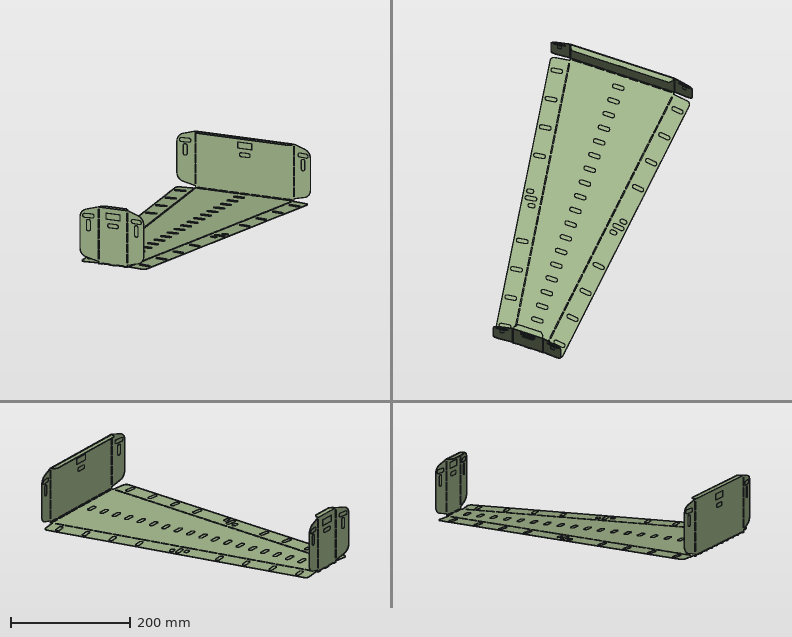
import cadquery as cq
import math

rear_y = 251.0
front_tip_y = -251.0
overall_width = 250.5
height = 99.5
sheet = 1.0
taper_angle = math.radians(7.5)
taper = math.tan(taper_angle)

rear_bend_x = 92.5
wing_span = overall_width / 2 - rear_bend_x
corner_relief = 4.0
front_face_y = front_tip_y + wing_span * taper
rear_face_y = rear_y - sheet
front_bend_x = rear_bend_x - taper * (rear_y - front_face_y)

wing_slope = math.tan(math.radians(15))
wing_radius = 15.0
lip_depth = 10.0
lip_inset = 1.5
lip_chamfer = 5.0

floor_wing_width = 32.5
floor_wing_radius = 7.0

recess_depth = sheet / 2
slot_length = 20.0
slot_width = 7.0
slot_from_bend = 18.0

floor_slot_count = 19
floor_slot_first_y = -221.0
floor_slot_last_y = 229.0

wing_slot_span = 450.0
wing_slot_steps = (-4.5, -3.5, -2.5, -1.5, 0, 1.5, 2.5, 3.5, 4.5)
wing_slot_pitch = wing_slot_span / (wing_slot_steps[-1] - wing_slot_steps[0])
short_slot_length = 12.0
short_slot_spacing = 12.0
short_slot_offset = 3.5

panel_slot_z = 82.5
upright_slot_z = 66.0
middle_slot_z = 69.0
window_length = 26.0
window_height = 10.5
window_z = 85.0

bend_slot_length = 15.0
bend_slot_width = 2.0
bend_slot_gap = 2.9
bend_slot_pitch = bend_slot_length + bend_slot_gap
floor_bend_slots = 27
panel_bend_slots = 5
panel_bend_slots_z = 51.5
rear_bend_slots = 9
rear_bend_slot_pitch = 20.0
front_bend_slots = 2
front_bend_slot_pitch = 26.0


def bend_x(y):
    """Half width of the floor between its bend lines at a given Y."""
    return rear_bend_x - taper * (rear_y - y)


def slot_prism(plane, centre, length, width, angle=0):
    """A round-ended slot, long enough on both sides of the plane to cross one sheet."""
    slot = cq.Workplane(plane, origin=centre).transformed(rotate=(0, 0, angle))
    return slot.slot2D(length, width).extrude(wing_span, both=True)


def union_of(shapes):
    """Join a list of shapes into one."""
    joined = shapes[0]
    for shape in shapes[1:]:
        joined = joined.union(shape)
    return joined


def both_sides(shape):
    """The shape and its mirror image across the middle of the part."""
    return shape.union(shape.mirror("YZ"))


def floor_sheet():
    front_wing_y = front_face_y + corner_relief
    rear_wing_y = rear_y - corner_relief
    out_x = floor_wing_width * math.cos(taper_angle)
    out_y = floor_wing_width * math.sin(taper_angle)
    middle = [
        (front_bend_x, front_face_y),
        (rear_bend_x, rear_y),
        (-rear_bend_x, rear_y),
        (-front_bend_x, front_face_y),
    ]
    wing = [
        (0, front_wing_y),
        (bend_x(front_wing_y), front_wing_y),
        (bend_x(front_wing_y) + out_x, front_wing_y - out_y),
        (bend_x(rear_wing_y) + out_x, rear_wing_y - out_y),
        (bend_x(rear_wing_y), rear_wing_y),
        (0, rear_wing_y),
    ]
    side = cq.Workplane("XY").polyline(wing).close().extrude(sheet)
    side = side.edges("|Z").edges(">X or <Y").fillet(floor_wing_radius)
    return cq.Workplane("XY").polyline(middle).close().extrude(sheet).union(both_sides(side))


def floor_recesses():
    middle_y = (front_face_y + rear_y) / 2
    tilt = -math.degrees(taper_angle)
    along_x, along_y = math.sin(taper_angle), math.cos(taper_angle)

    def beside_bend(along, out):
        """A point measured along the right bend line from its middle, and outward from it."""
        x = bend_x(middle_y) + along * along_x + out * along_y
        return (x, middle_y + along * along_y - out * along_x, 0)

    row_pitch = (floor_slot_last_y - floor_slot_first_y) / (floor_slot_count - 1)
    row = [
        slot_prism("XY", (0, floor_slot_first_y + i * row_pitch, 0), slot_length, slot_width)
        for i in range(floor_slot_count)
    ]
    side = [
        slot_prism("XY", beside_bend(step * wing_slot_pitch, slot_from_bend), slot_length, slot_width, tilt)
        for step in wing_slot_steps
    ]
    for end in (-1, 1):
        centre = beside_bend(end * short_slot_spacing, slot_from_bend + end * short_slot_offset)
        side.append(slot_prism("XY", centre, short_slot_length, slot_width, tilt))
    for i in range(floor_bend_slots):
        centre = beside_bend((i - (floor_bend_slots - 1) / 2) * bend_slot_pitch, 0)
        side.append(slot_prism("XY", centre, bend_slot_length, bend_slot_width, tilt + 90))
    skin = cq.Workplane("XY").workplane(offset=sheet - recess_depth)
    skin = skin.rect(2 * rear_y, 2 * rear_y).extrude(recess_depth)
    return union_of(row).union(both_sides(union_of(side))).intersect(skin)


def panel_band(face_y, half_width, depth):
    """The folded panel in plan, of a given depth behind its -Y face, at full height."""
    tip_x = half_width + wing_span
    tip_y = face_y - wing_span * taper
    fold_x = half_width + depth * math.tan(taper_angle / 2)
    right_side = [
        (tip_x, tip_y),
        (tip_x, tip_y + depth / math.cos(taper_angle)),
        (fold_x, face_y + depth),
    ]
    left_side = [(-x, y) for x, y in reversed(right_side)]
    outline = [(half_width, face_y)] + right_side + left_side + [(-half_width, face_y)]
    return cq.Workplane("XY").polyline(outline).close().extrude(height)


def panel_silhouette(face_y, half_width):
    """The panel's outline seen along Y: a plain middle and a wing with sloping ends each side."""
    tip_x = half_width + wing_span
    wing_drop = wing_span * wing_slope
    wing = [
        (0, corner_relief),
        (half_width, corner_relief),
        (tip_x, corner_relief + wing_drop),
        (tip_x, height - wing_drop),
        (half_width, height),
        (0, height),
    ]
    plane = cq.Workplane("XZ", origin=(0, face_y, 0))
    side = plane.polyline(wing).close().extrude(wing_span, both=True)
    side = side.edges("|Y").edges(">X").fillet(wing_radius)
    middle = plane.center(0, height / 2).rect(2 * half_width, height).extrude(wing_span, both=True)
    return middle.union(both_sides(side))


def panel_lip(face_y, half_width, inward):
    """The lip at the panel's top, reaching toward the middle of the floor."""
    base_x = half_width - lip_inset
    root_y = face_y if inward > 0 else face_y + sheet
    edge_y = root_y + inward * lip_depth
    outline = [
        (base_x, root_y),
        (base_x, edge_y - inward * lip_chamfer),
        (base_x - lip_chamfer, edge_y),
    ]
    outline += [(-x, y) for x, y in reversed(outline)]
    return cq.Workplane("XY").workplane(offset=height - sheet).polyline(outline).close().extrude(sheet)


def panel_recesses(face_y, half_width):
    wing_slot_x = half_width + slot_from_bend
    wing_slots = union_of([
        slot_prism("XZ", (wing_slot_x, face_y, panel_slot_z), slot_length, slot_width),
        slot_prism("XZ", (wing_slot_x, face_y, upright_slot_z), slot_length, slot_width, 90),
    ])
    middle_slot = slot_prism("XZ", (0, face_y, middle_slot_z), slot_length, slot_width)
    window = cq.Workplane("XY").box(window_length, 2 * wing_span, window_height)
    window = window.translate((0, face_y, window_z))
    slots = both_sides(wing_slots).union(middle_slot).union(window)
    return slots.intersect(panel_band(face_y, half_width, recess_depth))


def panel_bend_cuts(face_y, half_width, corner_y, corner_slots, corner_pitch):
    """Through cuts along the two upright bends and along the bend at the floor."""
    upright = []
    for i in range(panel_bend_slots):
        z = panel_bend_slots_z + (i - (panel_bend_slots - 1) / 2) * bend_slot_pitch
        upright.append(slot_prism("XZ", (half_width, face_y, z), bend_slot_length, bend_slot_width, 90))
    corner = []
    for i in range(corner_slots):
        x = (i - (corner_slots - 1) / 2) * corner_pitch
        cut = cq.Workplane("XY").box(bend_slot_length, 2 * bend_slot_width, 2 * bend_slot_width)
        corner.append(cut.translate((x, corner_y, 0)))
    return both_sides(union_of(upright)).union(union_of(corner))


def end_panel(face_y, half_width, inward):
    panel = panel_band(face_y, half_width, sheet).intersect(panel_silhouette(face_y, half_width))
    panel = panel.union(panel_lip(face_y, half_width, inward))
    return panel.cut(panel_recesses(face_y, half_width))


front_panel = end_panel(front_face_y, front_bend_x, 1)
rear_panel = end_panel(rear_face_y, rear_bend_x, -1)
result = floor_sheet().cut(floor_recesses()).union(front_panel).union(rear_panel)
result = result.cut(
    panel_bend_cuts(front_face_y, front_bend_x, front_face_y, front_bend_slots, front_bend_slot_pitch)
)
result = result.cut(
    panel_bend_cuts(rear_face_y, rear_bend_x, rear_y, rear_bend_slots, rear_bend_slot_pitch)
)